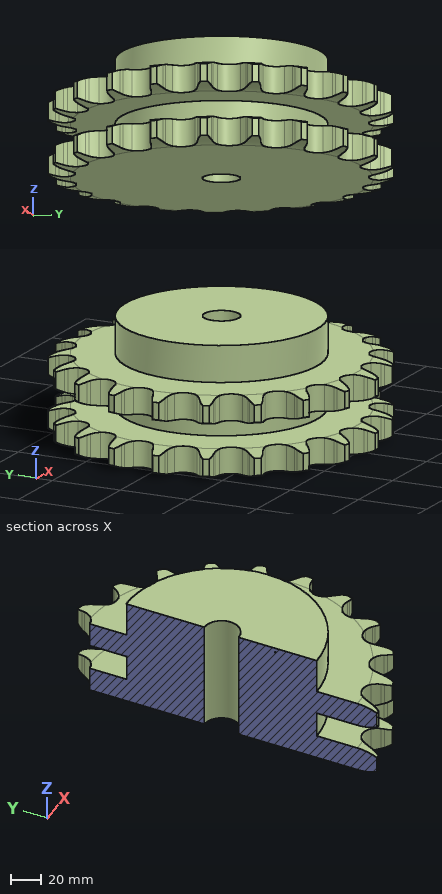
import cadquery as cq
import math

teeth = 21
chain_pitch = 31.75
roller_diameter = 19.05
tip_diameter = 228.2
plate_thickness = 18.2
row_spacing = 36.45
hub_diameter = 140.0
bore_diameter = 25.0
overall_height = 80.0
relief_start_radius = 99.5
relief_depth = 3.2
seat_clearance = 0.076
row_count = 2

half_pitch_angle = math.pi / teeth
pitch_radius = chain_pitch / (2 * math.sin(half_pitch_angle))
tip_radius = tip_diameter / 2

flank_center_ratio = 0.8
topping_center_ratio = 1.4
flank_radius_ratio = 1.3025
seat_diameter_ratio = 1.005

seat_end_angle = math.radians(35 + 60 / teeth)
flank_sweep = math.radians(18 - 56 / teeth)
topping_angle = math.radians(17 - 64 / teeth)
flank_angle = seat_end_angle - flank_sweep

seat_radius = (seat_diameter_ratio * roller_diameter + seat_clearance) / 2
flank_center_offset = flank_center_ratio * roller_diameter
topping_center_offset = topping_center_ratio * roller_diameter
flank_radius = flank_radius_ratio * roller_diameter + seat_clearance / 2
straight_length = (
    topping_center_offset * math.sin(topping_angle) - flank_center_offset * math.sin(flank_sweep)
)
topping_radius = (
    flank_center_offset * math.cos(flank_sweep)
    + topping_center_offset * math.cos(topping_angle)
    - flank_radius
)


def on_circle(center, radius, angle):
    return (center[0] + radius * math.cos(angle), center[1] + radius * math.sin(angle))


def mirrored(point):
    return (-point[0], point[1])


def turned(point, angle):
    cosine = math.cos(angle)
    sine = math.sin(angle)
    return (point[0] * cosine - point[1] * sine, point[0] * sine + point[1] * cosine)


def gap_side_points():
    """Right side of the gap centred on +Y, from the bottom of the seat out to the tooth tip."""
    seat_center = (0, pitch_radius)
    bottom = on_circle(seat_center, seat_radius, -math.pi / 2)
    seat_end = on_circle(seat_center, seat_radius, -seat_end_angle)

    flank_center = on_circle(seat_center, flank_center_offset, math.pi - seat_end_angle)
    flank_middle = on_circle(flank_center, flank_radius, -(seat_end_angle + flank_angle) / 2)
    flank_end = on_circle(flank_center, flank_radius, -flank_angle)

    straight_end = on_circle(flank_end, straight_length, math.pi / 2 - flank_angle)
    topping_center = on_circle(straight_end, topping_radius, -flank_angle)
    center_distance = math.hypot(*topping_center)
    tip_turn = math.acos(
        (tip_radius**2 + center_distance**2 - topping_radius**2) / (2 * tip_radius * center_distance)
    )
    tip_angle = math.atan2(topping_center[1], topping_center[0]) + tip_turn
    tip = on_circle((0, 0), tip_radius, tip_angle)
    topping_start_angle = math.pi - flank_angle
    topping_end_angle = math.atan2(tip[1] - topping_center[1], tip[0] - topping_center[0])
    topping_middle = on_circle(
        topping_center, topping_radius, (topping_start_angle + topping_end_angle) / 2
    )
    return bottom, seat_end, flank_middle, flank_end, straight_end, topping_middle, tip


def tooth_outline():
    """Closed outline of the toothed plate, drawn clockwise gap by gap."""
    right_side = gap_side_points()
    left_side = [mirrored(point) for point in right_side]
    tooth_top = on_circle((0, 0), tip_radius, math.pi / 2 - half_pitch_angle)
    first_tip = left_side[-1]
    next_tip = turned(first_tip, -2 * half_pitch_angle)

    outline = cq.Workplane("XY").moveTo(*first_tip)
    for gap in range(teeth):
        turn = -2 * half_pitch_angle * gap
        right = [turned(point, turn) for point in right_side]
        left = [turned(point, turn) for point in left_side]
        bottom, seat_end, flank_middle, flank_end, straight_end, topping_middle, tip = right
        _, left_seat_end, left_flank_middle, left_flank_end, left_straight_end, left_topping_middle, _ = left
        outline = (
            outline.threePointArc(left_topping_middle, left_straight_end)
            .lineTo(*left_flank_end)
            .threePointArc(left_flank_middle, left_seat_end)
            .threePointArc(bottom, seat_end)
            .threePointArc(flank_middle, flank_end)
            .lineTo(*straight_end)
            .threePointArc(topping_middle, tip)
            .threePointArc(turned(tooth_top, turn), turned(next_tip, turn))
        )
    return outline.close()


def relieved_blank():
    """Round plate whose two sides curve inwards, tangent to the faces, towards the tip circle."""
    run = tip_radius - relief_start_radius
    relief_radius = (run**2 + relief_depth**2) / (2 * relief_depth)
    middle_angle = math.asin(run / relief_radius) / 2
    middle_radius = relief_start_radius + relief_radius * math.sin(middle_angle)
    middle_drop = relief_radius * (1 - math.cos(middle_angle))
    return (
        cq.Workplane("XZ")
        .lineTo(relief_start_radius, 0)
        .threePointArc((middle_radius, middle_drop), (tip_radius, relief_depth))
        .lineTo(tip_radius, plate_thickness - relief_depth)
        .threePointArc(
            (middle_radius, plate_thickness - middle_drop), (relief_start_radius, plate_thickness)
        )
        .lineTo(0, plate_thickness)
        .close()
        .revolve(360, (0, 0, 0), (0, 1, 0))
    )


def toothed_plate():
    return tooth_outline().extrude(plate_thickness).intersect(relieved_blank())


def hub():
    return cq.Workplane("XY").circle(hub_diameter / 2).extrude(overall_height)


def bore():
    return cq.Workplane("XY").circle(bore_diameter / 2).extrude(overall_height)


plate = toothed_plate()
sprocket = hub()
for row in range(row_count):
    sprocket = sprocket.union(plate.translate((0, 0, row * row_spacing)))
result = sprocket.cut(bore())